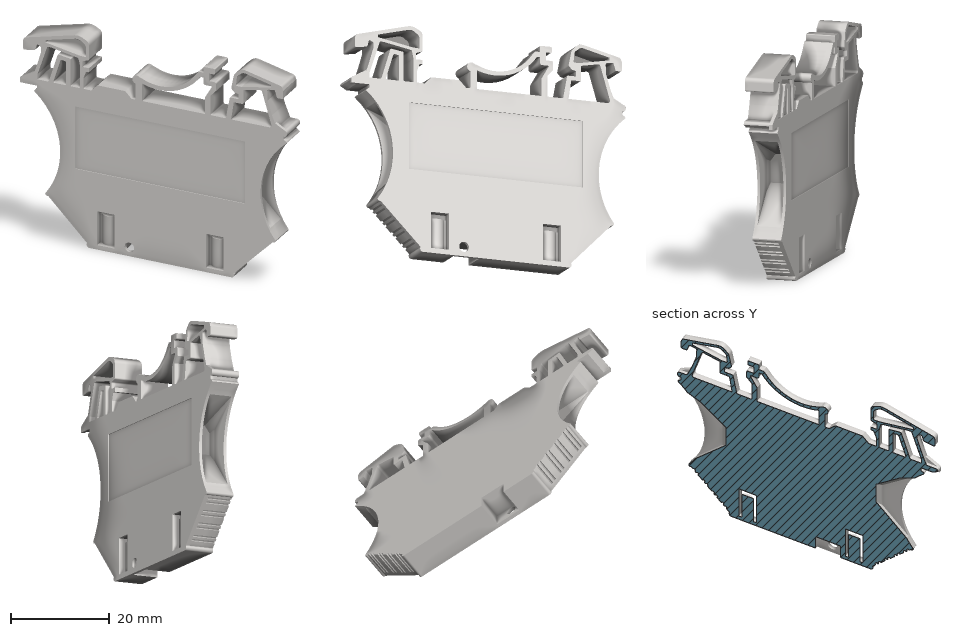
import cadquery as cq
import math


thickness = 6.1
half_length = 30.0
height = 47.0
axis_x = 1.55

deck_z = 35.35
ledge_z = 33.9
ledge_round = 0.65
block_x = (-12.55, -6.35)
block_rise = 1.45
scoop_radius = 16.2
scoop_z = 20.1
waist_half = 22.5
neck_half = 27.65
shoulder_half = 28.4
shoulder_z = 32.75
shoulder_rise = 0.5
tip_round = 0.5
tip_height = 0.6
lip_half = 25.85
lip_z = 9.7
scarf_angle = 45
scarf_half = 25.2
foot_half = 16.45
foot_step = 0.1
foot_round = 0.6
foot_z = lip_z - (scarf_half - foot_half)

label_x = (-17.45, 20.5)
label_z = (17.1, 31.0)
label_depth = 0.2

pocket_offset = 12.25
pocket_width = 3.9
pocket_z = (1.0, 8.6)
pocket_depth = 1.5
pocket_head = 1.1
pocket_head_depth = 1.8
rib_diameter = 3.9
rib_half_width = 1.5

hole_x = -5.4
hole_z = 2.0
hole_diameter = 2.1

relief_skin = 0.8
relief_x = (-7.45, -1.85)
relief_height = 3.25

funnel_walls_y = (0.6, 5.5)
funnel_back_y = (1.6, 5.15)
funnel_roof_y = (2.5, 4.1)
funnel_mouth_x = -24.95
funnel_floor_x = -22.85
funnel_back_x = -15.25
funnel_taper_length = 1.6
funnel_mouth_z = (12.5, 30.55)
funnel_roof_back_z = 26.1
funnel_chamfer_z = 24.6

groove_skin = 0.9
groove_pairs = 4
groove_pitch = 3.05
groove_gap = 1.0
groove_width = 0.5
groove_depth = 0.35
groove_start = 0.55

clip_wall = 0.6
gusset_thickness = 0.7
sink = 0.6
knob_diameter = 1.9


def outline(corners):
    """Closed wire in the XZ plane; a third value on a corner is its rounding radius."""
    path = cq.Workplane("XZ")
    count = len(corners)
    started = False
    for i, corner in enumerate(corners):
        here = cq.Vector(corner[0], corner[1])
        if len(corner) == 2:
            stops = [here]
        else:
            radius = corner[2]
            before = corners[i - 1]
            after = corners[(i + 1) % count]
            back = (cq.Vector(before[0], before[1]) - here).normalized()
            ahead = (cq.Vector(after[0], after[1]) - here).normalized()
            half_angle = back.getAngle(ahead) / 2
            reach = radius / math.tan(half_angle)
            inward = (back + ahead).normalized()
            middle = here + inward * (radius / math.sin(half_angle) - radius)
            stops = [here + back * reach, middle, here + ahead * reach]
        first = (stops[0].x, stops[0].y)
        path = path.lineTo(*first) if started else path.moveTo(*first)
        started = True
        if len(stops) == 3:
            path = path.threePointArc((stops[1].x, stops[1].y), (stops[2].x, stops[2].y))
    return path.close()


def slab(corners, depth=thickness):
    """Outline extruded along +Y from the label face."""
    return outline(corners).extrude(-depth)


def block(x_range, y_range, z_range):
    size = [high - low for low, high in (x_range, y_range, z_range)]
    corner = (x_range[0], y_range[0], z_range[0])
    return cq.Workplane("XY").box(*size, centered=False).translate(corner)


def rod(x, z, diameter):
    return cq.Workplane("XZ").center(x, z).circle(diameter / 2).extrude(-thickness)


def mirrored(shape):
    """The same shape on the other side of the mirror axis of the lower body."""
    return shape.mirror("YZ", (axis_x, 0, 0))


def lower_body():
    right = [
        (axis_x + foot_half + foot_step, 0, foot_round),
        (axis_x + foot_half + foot_step, foot_z - foot_step),
        (axis_x + foot_half, foot_z),
        (axis_x + scarf_half, lip_z),
        (axis_x + lip_half, lip_z, tip_round),
        (axis_x + lip_half, lip_z + tip_height),
        (axis_x + shoulder_half, shoulder_z - tip_height),
        (axis_x + shoulder_half, shoulder_z, tip_round),
        (axis_x + neck_half, shoulder_z + shoulder_rise),
        (axis_x + neck_half, ledge_z),
    ]
    left = [(2 * axis_x - corner[0], *corner[1:]) for corner in reversed(right)]
    ledges_and_deck = [
        (half_length, ledge_z, ledge_round),
        (half_length, deck_z, ledge_round),
        (block_x[1] + block_rise, deck_z),
        (block_x[1], deck_z + block_rise),
        (block_x[0], deck_z + block_rise),
        (block_x[0] - block_rise, deck_z),
        (-half_length, deck_z, ledge_round),
        (-half_length, ledge_z, ledge_round),
    ]
    body = slab(right + ledges_and_deck + left)
    scoop_x = axis_x - waist_half - scoop_radius
    scoop = rod(scoop_x, scoop_z, 2 * scoop_radius)
    return body.cut(scoop).cut(mirrored(scoop))


def left_clip():
    clip = slab([
        (-27.8, deck_z - sink),
        (-27.8, deck_z),
        (-27.3, deck_z, 0.35),
        (-26.3, 38.15),
        (-25.2, 41.75),
        (-25.2, 42.7, 0.3),
        (-26.15, 43.25, 0.25),
        (-26.6, 41.75, 0.35),
        (-29.3, 41.35, 0.3),
        (-29.3, 44.05, 0.95),
        (-16.8, height + 0.2, 2.5),
        (-14.45, 45.95, 1.2),
        (-14.45, 42.0, 0.3),
        (-15.9, 41.5, 0.25),
        (-15.9, 40.2),
        (-14.45, 40.2),
        (-14.45, 39.3),
        (-15.1, 39.3),
        (-15.7, 37.7),
        (-15.7, deck_z, 0.25),
        (-15.1, deck_z),
        (-15.1, deck_z - sink),
    ])
    spring_gap = slab([
        (-26.05, deck_z),
        (-26.05, 36.5),
        (-23.8, 43.15, 0.3),
        (-22.85, 43.1),
        (-16.85, 42.0, 0.3),
        (-16.45, 40.2),
        (-16.45, deck_z, 0.25),
        (-18.6, deck_z, 0.2),
        (-18.6, 41.45, 0.25),
        (-21.5, 41.9, 0.25),
        (-23.5, deck_z, 0.35),
    ])
    finger_gap = slab([
        (-22.55, deck_z, 0.25),
        (-20.8, 40.85, 0.35),
        (-19.6, 40.6),
        (-19.6, deck_z),
    ])
    head_recess = slab([
        (-24.25, 44.0),
        (-24.25, 44.5),
        (-16.8, 46.4, 1.8),
        (-15.2, 45.1, 0.9),
        (-15.2, 42.55),
        (-16.55, 42.6),
    ], thickness - clip_wall)
    gusset = slab([
        (-26.8, 36.85),
        (-29.5, deck_z),
        (-half_length, deck_z - 0.35),
        (-half_length, ledge_z),
        (-26.5, ledge_z),
    ], gusset_thickness)
    return clip.cut(spring_gap).cut(finger_gap).cut(head_recess).union(gusset)


def finger_rest():
    """Curved strip on two posts, with a knob at one end and a hooked post at the other."""
    left_post_x = (-4.0, -2.5)
    strip = (
        cq.Workplane("XZ")
        .moveTo(-3.6, 40.7)
        .lineTo(-2.45, 40.3)
        .threePointArc((1.4, 39.5), (9.5, 43.75))
        .lineTo(10.15, 44.5)
        .lineTo(11.35, 44.5)
        .lineTo(11.35, 43.45)
        .lineTo(10.55, 43.45)
        .lineTo(10.0, 42.7)
        .threePointArc((1.4, 38.6), (left_post_x[1], 39.25))
        .lineTo(-3.6, 39.25)
        .close()
        .extrude(-thickness)
    )
    left_post = slab([
        (left_post_x[0] - 0.6, deck_z - sink),
        (left_post_x[0] - 0.6, deck_z),
        (left_post_x[0], deck_z, 0.25),
        (left_post_x[0], 39.7),
        (left_post_x[1], 39.7),
        (left_post_x[1], deck_z - sink),
    ])
    hooked_post = slab([
        (11.6, deck_z - sink),
        (11.6, 39.05),
        (13.2, 41.8),
        (11.2, 41.8, 0.5),
        (11.2, 45.85, 0.2),
        (13.8, 45.85, 0.25),
        (13.8, 44.6, 0.25),
        (12.5, 44.6),
        (12.5, 42.9),
        (14.1, 42.9, 0.35),
        (14.1, 41.05),
        (12.85, 39.7),
        (12.85, deck_z, 0.25),
        (13.45, deck_z),
        (13.45, deck_z - sink),
    ])
    knob = rod(-3.8, 39.85, knob_diameter)
    return left_post.union(strip).union(hooked_post).union(knob)


def right_clip():
    clip = slab([
        (15.6, deck_z - sink),
        (15.6, deck_z),
        (16.25, deck_z, 0.25),
        (17.15, 40.2, 0.2),
        (19.15, 40.2),
        (19.15, 41.35),
        (18.2, 41.5, 0.5),
        (17.45, 42.3, 0.35),
        (18.1, 45.6, 1.2),
        (19.85, height + 0.2, 1.8),
        (28.8, 45.05, 0.7),
        (29.15, 44.15),
        (29.15, 42.25, 0.35),
        (27.8, 42.25),
        (27.25, 43.9, 0.25),
        (25.55, 43.7, 0.5),
        (25.7, 41.3),
        (26.65, 38.15),
        (27.8, deck_z, 0.35),
        (28.3, deck_z),
        (28.3, deck_z - sink),
    ])
    window = slab([
        (17.45, deck_z),
        (18.05, 39.3),
        (20.2, 39.3, 0.25),
        (20.2, 42.55),
        (24.3, 43.3, 0.5),
        (26.7, deck_z, 0.5),
    ])
    head_recess = slab([
        (26.4, 44.35),
        (26.4, 44.9),
        (20.15, 46.4, 1.2),
        (18.8, 45.3, 0.9),
        (18.55, 43.1, 0.25),
        (19.8, 43.1),
    ], thickness - clip_wall)
    gusset = slab([
        (27.35, 36.5),
        (29.4, deck_z),
        (29.4, deck_z - sink),
        (27.0, deck_z - sink),
    ], gusset_thickness)
    return clip.cut(window).cut(head_recess).union(gusset)


def rib_pocket(center_x):
    """Pocket cutter with a deeper head strip, leaving a half-round rib standing on the floor."""
    low_z, high_z = pocket_z
    rib_top = high_z - pocket_head
    x_range = (center_x - pocket_width / 2, center_x + pocket_width / 2)
    shaft = block(x_range, (0, pocket_depth), (low_z, rib_top))
    head = block(x_range, (0, pocket_head_depth), (rib_top, high_z))
    axis_depth = pocket_depth + math.sqrt((rib_diameter / 2) ** 2 - rib_half_width ** 2)
    rib = (
        cq.Workplane("XY")
        .center(center_x, axis_depth)
        .circle(rib_diameter / 2)
        .extrude(rib_top)
    )
    return shaft.cut(rib).union(head)


def wire_funnel():
    """Funnel cutter for the -X end: 45 degree floor, sloped roof and a tapered back."""
    outside_x = -half_length
    floor_rise = funnel_back_x - funnel_floor_x
    low_z, high_z = funnel_mouth_z
    roof_slope = (high_z - funnel_roof_back_z) / (funnel_back_x - funnel_mouth_x)
    side = slab([
        (outside_x, low_z),
        (funnel_floor_x, low_z),
        (funnel_back_x, low_z + floor_rise),
        (funnel_back_x, funnel_roof_back_z),
        (outside_x, high_z + roof_slope * (funnel_mouth_x - outside_x)),
    ])
    taper_x = funnel_back_x - funnel_taper_length
    plan = (
        cq.Workplane("XY")
        .polyline([
            (outside_x, funnel_walls_y[0]),
            (taper_x, funnel_walls_y[0]),
            (funnel_back_x, funnel_back_y[0]),
            (funnel_back_x, funnel_back_y[1]),
            (taper_x, funnel_walls_y[1]),
            (outside_x, funnel_walls_y[1]),
        ])
        .close()
        .extrude(height)
    )
    funnel = side.intersect(plan)
    for wall_y, roof_y, back_y, turn in zip(funnel_walls_y, funnel_roof_y, funnel_back_y, (1, -1)):
        mouth = cq.Vector(funnel_mouth_x, wall_y, high_z)
        roof_end = cq.Vector(funnel_back_x, roof_y, funnel_roof_back_z)
        back_end = cq.Vector(funnel_back_x, back_y, funnel_chamfer_z)
        outward = (back_end - mouth).cross(roof_end - mouth) * turn
        facet = cq.Plane(origin=mouth.toTuple(), xDir=(roof_end - mouth).toTuple(), normal=outward.toTuple())
        funnel = funnel.cut(cq.Workplane(facet).rect(height, height).extrude(half_length))
    return funnel


def grip_grooves():
    """Groove cutters for the scarf at the -X end."""
    top_x = axis_x - scarf_half
    cutters = cq.Workplane("XY")
    for pair in range(groove_pairs):
        for offset in (0, groove_gap):
            along = groove_start + pair * groove_pitch + offset
            groove = block(
                (along, along + groove_width),
                (groove_skin, thickness),
                (-groove_depth, groove_depth),
            )
            groove = groove.rotate((0, 0, 0), (0, 1, 0), scarf_angle).translate((top_x, 0, lip_z))
            cutters = cutters.add(groove)
    return cutters.combine()


result = lower_body().union(left_clip()).union(finger_rest()).union(right_clip())
result = result.cut(block(label_x, (0, label_depth), label_z))
result = result.cut(rod(hole_x, hole_z, hole_diameter))
result = result.cut(block(relief_x, (relief_skin, thickness), (0, relief_height)))
for side in (-1, 1):
    result = result.cut(rib_pocket(axis_x + side * pocket_offset))
for cutter in (wire_funnel(), grip_grooves()):
    result = result.cut(cutter).cut(mirrored(cutter))